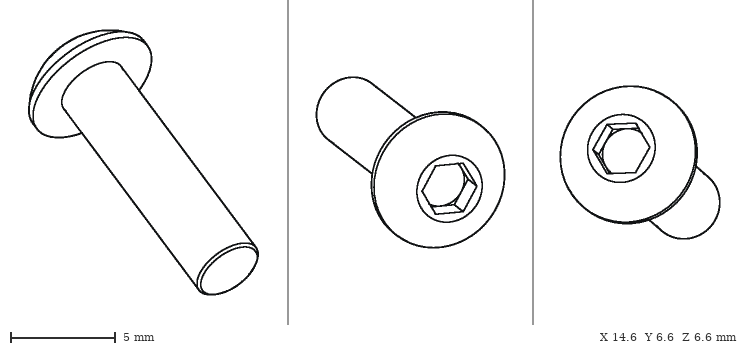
import cadquery as cq
import math

total_length = 14.55
head_diameter = 6.6
head_height = 1.86
rim_thickness = 0.4
face_diameter = 3.3
shank_diameter = 3.4
tip_chamfer = 0.13

socket_across_flats = 2.4
socket_depth = 1.3
cone_angle = 120.0

head_radius = head_diameter / 2
face_radius = face_diameter / 2
shank_radius = shank_diameter / 2
dome_height = head_height - rim_thickness

dome_center = (dome_height**2 + head_radius**2 - face_radius**2) / (2 * dome_height)
dome_radius = math.hypot(dome_center, face_radius)
face_angle = math.atan2(face_radius, dome_center)
rim_angle = math.atan2(head_radius, dome_center - dome_height)
middle_angle = (face_angle + rim_angle) / 2
dome_middle = (
    dome_center - dome_radius * math.cos(middle_angle),
    dome_radius * math.sin(middle_angle),
)


def make_body():
    """Head, shank and tip chamfer revolved about the X axis."""
    return (
        cq.Workplane("XY")
        .lineTo(0, face_radius)
        .threePointArc(dome_middle, (dome_height, head_radius))
        .lineTo(head_height, head_radius)
        .lineTo(head_height, shank_radius)
        .lineTo(total_length - tip_chamfer, shank_radius)
        .lineTo(total_length, shank_radius - tip_chamfer)
        .lineTo(total_length, 0)
        .close()
        .revolve(360, (0, 0), (1, 0))
    )


def make_socket():
    """Hexagon with corners on the Y axis, ending in a cone that fits its flats."""
    across_corners = socket_across_flats / math.cos(math.pi / 6)
    hexagon = cq.Workplane("YZ").polygon(6, across_corners).extrude(socket_depth)
    cone_radius = socket_across_flats / 2
    cone_depth = cone_radius / math.tan(math.radians(cone_angle / 2))
    cone = (
        cq.Workplane("XY")
        .moveTo(socket_depth, 0)
        .lineTo(socket_depth, cone_radius)
        .lineTo(socket_depth + cone_depth, 0)
        .close()
        .revolve(360, (0, 0), (1, 0))
    )
    return hexagon.union(cone)


result = make_body().cut(make_socket())